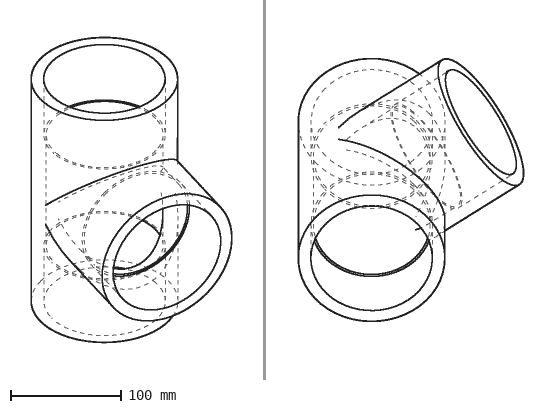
import cadquery as cq

run_length = 244.0
outer_diameter = 133.0
bore_diameter = 106.0
socket_diameter = 110.0
socket_depth = 61.0
branch_reach = run_length / 2

end_directions = [(0, 0, 1), (0, 0, -1), (1, 0, 0)]


def cylinder(diameter, start, length, direction):
    """Cylinder along direction, beginning at distance start from the tee centre."""
    axis = cq.Vector(*direction)
    return cq.Workplane(cq.Solid.makeCylinder(diameter / 2, length, axis * start, axis))


def tee(diameter):
    """Run and branch cylinders of the same diameter, joined at the tee centre."""
    run = cylinder(diameter, -run_length / 2, run_length, (0, 0, 1))
    branch = cylinder(diameter, 0, branch_reach, (1, 0, 0))
    return run.union(branch)


result = tee(outer_diameter).cut(tee(bore_diameter))

for direction in end_directions:
    socket_start = branch_reach - socket_depth
    result = result.cut(cylinder(socket_diameter, socket_start, socket_depth, direction))